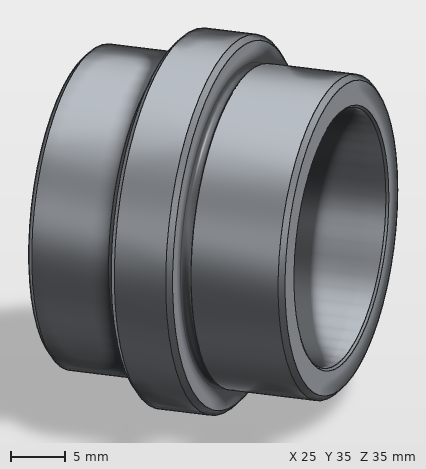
import cadquery as cq

length = 25.0
flange_diameter = 35.0
sleeve_diameter = 30.0
bore_diameter = 24.0
flange_start = 9.0
flange_width = 6.0
groove_width = 1.0
edge_chamfer = 0.5
bore_chamfer = 0.2

flange_radius = flange_diameter / 2
sleeve_radius = sleeve_diameter / 2
bore_radius = bore_diameter / 2
flange_end = flange_start + flange_width
groove_radius = groove_width / 2
groove_bottom = sleeve_radius - groove_radius

profile = (
    cq.Workplane("XY")
    .moveTo(0, bore_radius + bore_chamfer)
    .lineTo(0, sleeve_radius - edge_chamfer)
    .lineTo(edge_chamfer, sleeve_radius)
    .lineTo(flange_start - groove_width, sleeve_radius)
    .threePointArc((flange_start - groove_radius, groove_bottom), (flange_start, sleeve_radius))
    .lineTo(flange_start, flange_radius - edge_chamfer)
    .lineTo(flange_start + edge_chamfer, flange_radius)
    .lineTo(flange_end - edge_chamfer, flange_radius)
    .lineTo(flange_end, flange_radius - edge_chamfer)
    .lineTo(flange_end, sleeve_radius)
    .threePointArc((flange_end + groove_radius, groove_bottom), (flange_end + groove_width, sleeve_radius))
    .lineTo(length - edge_chamfer, sleeve_radius)
    .lineTo(length, sleeve_radius - edge_chamfer)
    .lineTo(length, bore_radius + bore_chamfer)
    .lineTo(length - bore_chamfer, bore_radius)
    .lineTo(bore_chamfer, bore_radius)
    .close()
)

result = profile.revolve(360, (0, 0, 0), (1, 0, 0))